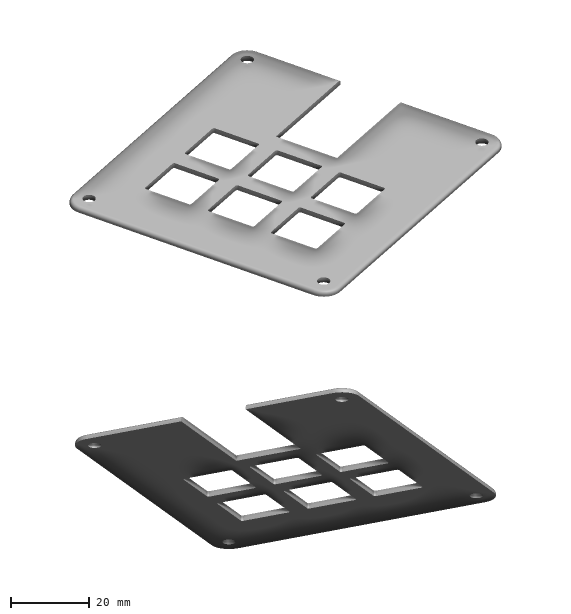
import cadquery as cq

PLATE_WIDTH = 81.0
PLATE_LENGTH = 85.67
PLATE_THICKNESS = 1.5
CORNER_RADIUS = 5.0
EDGE_ROUNDING = 1.0

SCREW_HOLE_DIAMETER = 3.4
SCREW_HOLE_INSET = CORNER_RADIUS

KEY_COLUMNS = 3
KEY_ROWS = 2
KEY_SIZE = 14.0
KEY_PITCH = 19.05
KEY_CORNER_RADIUS = 0.5
BOTTOM_ROW_OFFSET = 16.46

NOTCH_LEFT = 30.1
NOTCH_WIDTH = 18.5
NOTCH_DEPTH = 31.0


def make_plate():
    """Rounded rectangle with its upper rim rounded over."""
    return (
        cq.Workplane("XY")
        .rect(PLATE_WIDTH, PLATE_LENGTH, centered=False)
        .extrude(PLATE_THICKNESS)
        .edges("|Z")
        .fillet(CORNER_RADIUS)
        .faces(">Z")
        .edges()
        .fillet(EDGE_ROUNDING)
    )


def make_screw_holes():
    """Four through holes, one in each corner."""
    centres = [
        (x, y)
        for x in (SCREW_HOLE_INSET, PLATE_WIDTH - SCREW_HOLE_INSET)
        for y in (SCREW_HOLE_INSET, PLATE_LENGTH - SCREW_HOLE_INSET)
    ]
    return (
        cq.Workplane("XY")
        .pushPoints(centres)
        .circle(SCREW_HOLE_DIAMETER / 2)
        .extrude(PLATE_THICKNESS)
    )


def make_key_openings():
    """Grid of square openings with softened corners."""
    grid_centre_x = PLATE_WIDTH / 2
    grid_centre_y = BOTTOM_ROW_OFFSET + (KEY_SIZE + (KEY_ROWS - 1) * KEY_PITCH) / 2
    return (
        cq.Workplane("XY")
        .center(grid_centre_x, grid_centre_y)
        .rarray(KEY_PITCH, KEY_PITCH, KEY_COLUMNS, KEY_ROWS)
        .rect(KEY_SIZE, KEY_SIZE)
        .extrude(PLATE_THICKNESS)
        .edges("|Z")
        .fillet(KEY_CORNER_RADIUS)
    )


def make_notch():
    """Square-cornered notch reaching in from the back edge."""
    return (
        cq.Workplane("XY")
        .moveTo(NOTCH_LEFT, PLATE_LENGTH - NOTCH_DEPTH)
        .rect(NOTCH_WIDTH, NOTCH_DEPTH, centered=False)
        .extrude(PLATE_THICKNESS)
    )


result = (
    make_plate()
    .cut(make_screw_holes())
    .cut(make_key_openings())
    .cut(make_notch())
)